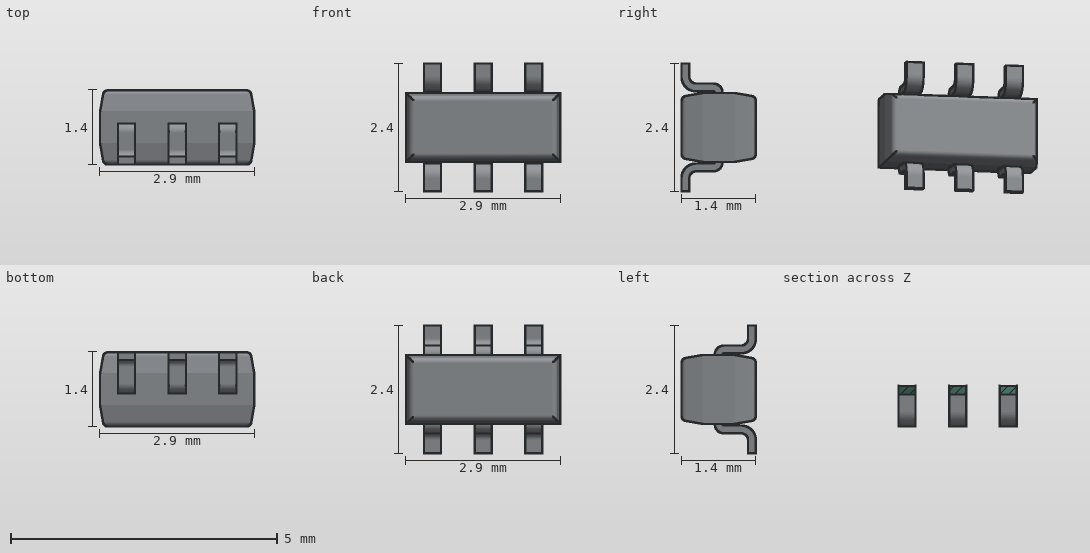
import cadquery as cq
import math

body_length = 2.9
body_depth = 1.4
body_height = 1.3
band_depth = 0.6
draft_angle = 10.0
edge_radius = 0.102

leads_per_row = 3
lead_pitch = 0.95
lead_width = 0.325
lead_thickness = 0.15
lead_span = 2.4
foot_inner_radius = 0.125
root_inner_radius = 0.025

front_y = -body_depth / 2
top_z = body_height / 2
toe_z = lead_span / 2
draft_run = (body_depth - band_depth) / 2
draft_inset = draft_run * math.tan(math.radians(draft_angle))


def body_profile(plane, width, extent):
    """Extrude the tapered, round-cornered outline of the body.

    The outline is `width` across the band and the solid is `extent` long,
    centred on the chosen plane, whose second axis is the body's Y axis.
    """
    half_width = width / 2
    face_half_width = half_width - draft_inset
    half_depth = body_depth / 2
    half_band = band_depth / 2
    return (
        cq.Workplane(plane)
        .polyline([
            (-face_half_width, -half_depth),
            (face_half_width, -half_depth),
            (half_width, -half_band),
            (half_width, half_band),
            (face_half_width, half_depth),
            (-face_half_width, half_depth),
            (-half_width, half_band),
            (-half_width, -half_band),
        ])
        .close()
        .extrude(extent / 2, both=True)
        .edges("<Y or >Y")
        .edges(cq.selectors.ParallelDirSelector(cq.Plane.named(plane).zDir))
        .fillet(edge_radius)
    )


def make_body():
    """Cross two profiles so that tapers and roundings meet in mitred corners."""
    plan = body_profile("XY", body_length, body_height)
    side = body_profile("ZY", body_height, body_length)
    return plan.intersect(side).solids()


def make_top_lead(x):
    """Make one lead of the top row, centred on x and standing on the top face."""
    root_outer_radius = root_inner_radius + lead_thickness
    foot_outer_radius = foot_inner_radius + lead_thickness

    root_back_y = lead_thickness / 2
    root_front_y = -lead_thickness / 2
    root_bend_y = root_front_y - root_inner_radius
    arm_bottom_z = top_z + root_inner_radius
    arm_top_z = arm_bottom_z + lead_thickness

    foot_back_y = front_y + lead_thickness
    foot_bend_y = front_y + foot_outer_radius
    foot_bend_z = arm_bottom_z + foot_outer_radius

    diagonal = math.sqrt(0.5)
    return (
        cq.Workplane("YZ", origin=(x, 0, 0))
        .moveTo(root_front_y, top_z)
        .lineTo(root_back_y, top_z)
        .threePointArc(
            (root_bend_y + root_outer_radius * diagonal, top_z + root_outer_radius * diagonal),
            (root_bend_y, arm_top_z),
        )
        .lineTo(foot_bend_y, arm_top_z)
        .threePointArc(
            (foot_bend_y - foot_inner_radius * diagonal, foot_bend_z - foot_inner_radius * diagonal),
            (foot_back_y, foot_bend_z),
        )
        .lineTo(foot_back_y, toe_z)
        .lineTo(front_y, toe_z)
        .lineTo(front_y, foot_bend_z)
        .threePointArc(
            (foot_bend_y - foot_outer_radius * diagonal, foot_bend_z - foot_outer_radius * diagonal),
            (foot_bend_y, arm_bottom_z),
        )
        .lineTo(root_bend_y, arm_bottom_z)
        .threePointArc(
            (root_bend_y + root_inner_radius * diagonal, top_z + root_inner_radius * diagonal),
            (root_front_y, top_z),
        )
        .close()
        .extrude(lead_width / 2, both=True)
        .solids()
    )


body = make_body()

leads = []
for index in range(leads_per_row):
    lead_x = (index - (leads_per_row - 1) / 2) * lead_pitch
    top_lead = make_top_lead(lead_x)
    bottom_lead = top_lead.mirror("XY").solids()
    leads.append(top_lead.val())
    leads.append(bottom_lead.val())

result = cq.Compound.makeCompound([body.val(), *leads])